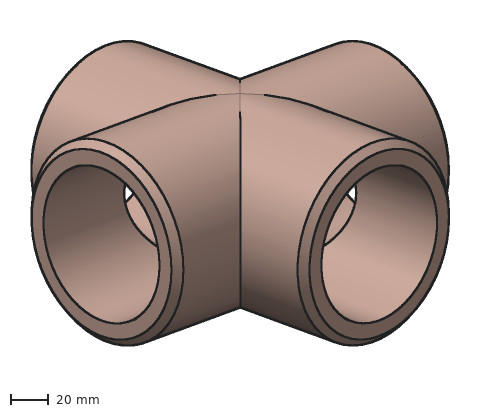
import cadquery as cq

end_to_end = 209.3
outer_diameter = 114.3
wall = 13.5
bevel = 4.5

bore_diameter = outer_diameter - 2 * wall


def along_x_and_y(diameter, make_rod):
    """Two crossing rods of one diameter, along X and along Y."""
    return make_rod("YZ", diameter).union(make_rod("XZ", diameter))


def plain_rod(plane, diameter):
    return cq.Workplane(plane).circle(diameter / 2).extrude(end_to_end / 2, both=True)


def bevelled_rod(plane, diameter):
    return plain_rod(plane, diameter).edges("%CIRCLE").chamfer(bevel)


body = along_x_and_y(outer_diameter, bevelled_rod)
bores = along_x_and_y(bore_diameter, plain_rod)

result = body.cut(bores)